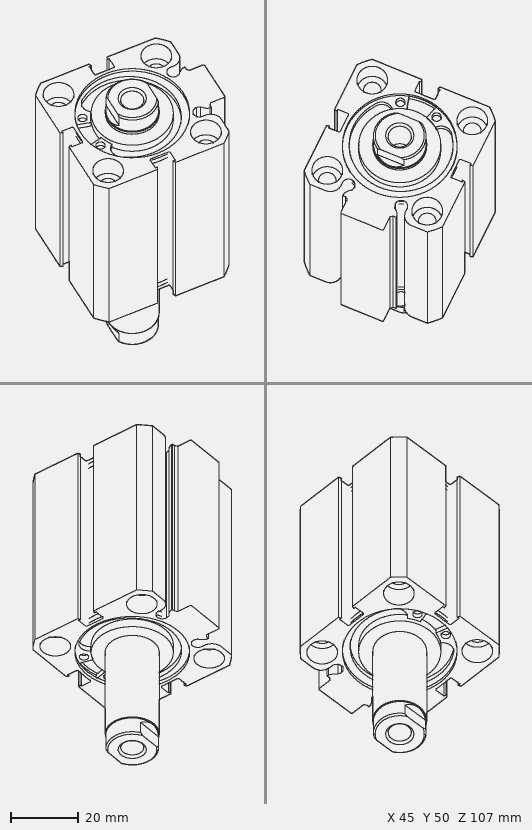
import cadquery as cq
import math

HOUSING_WIDTH = 45.0
HOUSING_HEIGHT = 63.0
TOTAL_DEPTH = 50.0
CORNER_RADIUS = 29.5
HALF_WIDTH = HOUSING_WIDTH / 2
BORE_RADIUS = 17.0

MOUNT_OFFSET = 16.3
MOUNT_HOLE_DIAMETER = 5.2
MOUNT_BORE_DIAMETER = 9.1
MOUNT_BORE_DEPTH = 7.0

GROOVE_RADIUS = 17.9
GROOVE_DEPTH = 1.2
RING_THICKNESS = 1.7

SLOT_WALL = 0.15
SLOT_FLOOR = GROOVE_RADIUS + SLOT_WALL
SLOT_WIDTH = 6.6
SLOT_LIP_WIDTH = 5.2
SLOT_MOUTH_WIDTH = 5.9
SLOT_LIP_THICKNESS = 0.9
SLOT_CORNER_RADIUS = 0.4

RAIL_TOP = TOTAL_DEPTH - HALF_WIDTH
RAIL_HALF_WIDTH = 7.0
RAIL_EDGE_RADIUS = 0.4
CHANNEL_RADIUS = 1.9
CHANNEL_X = 8.6
CHANNEL_Y = 18.0
SHOULDER_RADIUS = 3.5
BARB_TIP_X = 8.7
BARB_TIP_TOP = 21.9
BARB_TIP_BOTTOM = 21.4
BARB_NECK_X = 7.7
BARB_WAIST_X = 7.0
BARB_WAIST_Y = 19.2
BARB_BELLY = (8.0, 20.1)

ROD_RADIUS = 8.0
ROD_TOP_LENGTH = 7.0
ROD_BOTTOM_LENGTH = 37.0
ROD_END_RADIUS = 7.8
ROD_END_LENGTH = 5.8
ROD_END_CHAMFER = 0.5
FLAT_HALF_WIDTH = 6.5
FLAT_LENGTH = 4.4
TAP_RADIUS = 3.4
TAP_MOUTH_RADIUS = 4.2
TAP_DEPTH = 12.8
DRILL_POINT_ANGLE = 118

BOSS_RADIUS = 12.2
COVER_LENGTH = 15.0

RING_HOLE_RADIUS = 15.4
RING_HOLE_SHIFT = 1.0
RING_HOLE_END_ANGLE = 35
LUG_CURVE_MID = (9.8, 11.7)
LUG_INNER_RADIUS = 12.4
LUG_ANGLE = 34
GAP_HALF_ANGLE = 15
LUG_HOLE_RADIUS = 1.4
LUG_HOLE_ANGLE = 23.5
LUG_HOLE_DISTANCE = 14.8


def disc(radius, bottom, top):
    """Cylinder on the rod axis between two heights."""
    return cq.Workplane("XY").workplane(offset=bottom).circle(radius).extrude(top - bottom)


def mirror_to_bottom(body):
    """Copy of a body from the upper end, mirrored to the lower end of the housing."""
    return body.mirror("XY", (0, 0, HOUSING_HEIGHT / 2))


def point_from_gap(radius, angle):
    """Point at a radius, turned by an angle from -Y towards +X."""
    turn = math.radians(angle)
    return (radius * math.sin(turn), -radius * math.cos(turn))


def slot_cutter():
    """Sensor slot on the -Y side: undercut channel with a flared, lipped mouth."""
    lip_inside = -HALF_WIDTH + SLOT_LIP_THICKNESS
    half = [
        (SLOT_MOUTH_WIDTH / 2, -HALF_WIDTH),
        (SLOT_LIP_WIDTH / 2, lip_inside),
        (SLOT_WIDTH / 2, lip_inside),
        (SLOT_WIDTH / 2, -SLOT_FLOOR),
    ]
    other_half = [(-x, y) for x, y in reversed(half)]
    slot = cq.Workplane("XY").polyline(half + other_half).close().extrude(HOUSING_HEIGHT)
    floor_corners = cq.selectors.BoxSelector(
        (-HALF_WIDTH, -SLOT_FLOOR - SLOT_CORNER_RADIUS, 0),
        (HALF_WIDTH, -SLOT_FLOOR + SLOT_CORNER_RADIUS, HOUSING_HEIGHT),
    )
    return slot.edges("|Z").edges(floor_corners).fillet(SLOT_CORNER_RADIUS)


def channel_cutter():
    """Space between the +X flank of the rail and the mounting corner."""
    outer_x = CHANNEL_X + CHANNEL_RADIUS
    shoulder_y = HALF_WIDTH - SHOULDER_RADIUS
    shoulder_mid = (
        outer_x + SHOULDER_RADIUS * (1 - math.sqrt(0.5)),
        shoulder_y + SHOULDER_RADIUS * math.sqrt(0.5),
    )
    return (
        cq.Workplane("XY")
        .moveTo(RAIL_HALF_WIDTH, RAIL_TOP)
        .lineTo(RAIL_HALF_WIDTH, HALF_WIDTH)
        .lineTo(BARB_NECK_X, BARB_TIP_TOP)
        .lineTo(BARB_TIP_X, BARB_TIP_TOP)
        .lineTo(BARB_TIP_X, BARB_TIP_BOTTOM)
        .threePointArc(BARB_BELLY, (BARB_WAIST_X, BARB_WAIST_Y))
        .lineTo(CHANNEL_X - CHANNEL_RADIUS, CHANNEL_Y)
        .threePointArc((CHANNEL_X, CHANNEL_Y - CHANNEL_RADIUS), (outer_x, CHANNEL_Y))
        .lineTo(outer_x, shoulder_y)
        .threePointArc(shoulder_mid, (outer_x + SHOULDER_RADIUS, HALF_WIDTH))
        .lineTo(outer_x + SHOULDER_RADIUS, RAIL_TOP)
        .close()
        .extrude(HOUSING_HEIGHT)
    )


def rail_block():
    """Rail on the +Y side, reaching in from the square section."""
    return (
        cq.Workplane("XY")
        .rect(2 * RAIL_HALF_WIDTH, RAIL_TOP - BORE_RADIUS)
        .extrude(HOUSING_HEIGHT)
        .edges("|Z and >Y")
        .fillet(RAIL_EDGE_RADIUS)
        .translate((0, (RAIL_TOP + BORE_RADIUS) / 2, 0))
    )


def make_housing():
    square = cq.Workplane("XY").rect(HOUSING_WIDTH, HOUSING_WIDTH).extrude(HOUSING_HEIGHT)
    housing = square.intersect(disc(CORNER_RADIUS, 0, HOUSING_HEIGHT)).union(rail_block())

    channel = channel_cutter()
    housing = housing.cut(channel).cut(channel.mirror("YZ"))

    slot = slot_cutter()
    for turn in (-90, 0, 90):
        housing = housing.cut(slot.rotate((0, 0, 0), (0, 0, 1), turn))

    groove_top = HOUSING_HEIGHT - GROOVE_DEPTH
    groove = disc(GROOVE_RADIUS, groove_top - RING_THICKNESS, groove_top)
    housing = housing.cut(disc(BORE_RADIUS, 0, HOUSING_HEIGHT))
    housing = housing.cut(groove).cut(mirror_to_bottom(groove))

    for face in (">Z", "<Z"):
        housing = (
            housing.faces(face)
            .workplane(origin=(0, 0, 0))
            .rect(2 * MOUNT_OFFSET, 2 * MOUNT_OFFSET, forConstruction=True)
            .vertices()
            .cboreHole(MOUNT_HOLE_DIAMETER, MOUNT_BORE_DIAMETER, MOUNT_BORE_DEPTH)
        )
    return housing


def flat_cutter(end):
    """Wrench flat on the -Y side of the upper rod end, running out at 45 degrees."""
    flat_bottom = end - FLAT_LENGTH
    runout = ROD_RADIUS - FLAT_HALF_WIDTH
    return (
        cq.Workplane("YZ")
        .polyline([
            (-FLAT_HALF_WIDTH, end),
            (-FLAT_HALF_WIDTH, flat_bottom),
            (-ROD_RADIUS, flat_bottom - runout),
            (-ROD_RADIUS, end),
        ])
        .close()
        .extrude(ROD_RADIUS, both=True)
    )


def tap_cutter(end):
    """Drilled hole in the upper rod end, with a conical bottom and a chamfered mouth."""
    mouth_chamfer = TAP_MOUTH_RADIUS - TAP_RADIUS
    point_length = TAP_RADIUS / math.tan(math.radians(DRILL_POINT_ANGLE / 2))
    return (
        cq.Workplane("XZ")
        .polyline([
            (0, end),
            (TAP_MOUTH_RADIUS, end),
            (TAP_RADIUS, end - mouth_chamfer),
            (TAP_RADIUS, end - TAP_DEPTH),
            (0, end - TAP_DEPTH - point_length),
        ])
        .close()
        .revolve(360, (0, 0, 0), (0, 1, 0))
    )


def make_rod():
    top = HOUSING_HEIGHT + ROD_TOP_LENGTH
    bottom = -ROD_BOTTOM_LENGTH
    shoulder_chamfer = ROD_RADIUS - ROD_END_RADIUS
    shank = disc(ROD_RADIUS, bottom + ROD_END_LENGTH, top - ROD_END_LENGTH)
    shank = shank.faces("<Z or >Z").chamfer(shoulder_chamfer)
    ends = disc(ROD_END_RADIUS, bottom, top).faces("<Z or >Z").chamfer(ROD_END_CHAMFER)
    rod = shank.union(ends)
    flat = flat_cutter(top)
    end_cuts = tap_cutter(top).union(flat).union(flat.mirror("XZ"))
    other_end_cuts = end_cuts.mirror("XY", (0, 0, (top + bottom) / 2))
    return rod.cut(end_cuts).cut(other_end_cuts)


def make_cover():
    """Plug in the bore below the ring, with a boss flush with the end face."""
    plug_top = HOUSING_HEIGHT - GROOVE_DEPTH - RING_THICKNESS
    plug_bottom = HOUSING_HEIGHT - COVER_LENGTH
    plug = disc(BORE_RADIUS, plug_bottom, plug_top)
    boss = disc(BOSS_RADIUS, plug_bottom, HOUSING_HEIGHT)
    return plug.union(boss).cut(disc(ROD_RADIUS, plug_bottom, HOUSING_HEIGHT))


def ring_opening(bottom):
    """Inside of the ring: an eccentric circle that curves in to the two lugs."""
    end_turn = math.radians(RING_HOLE_END_ANGLE)
    curve_x = RING_HOLE_RADIUS * math.cos(end_turn)
    curve_y = -RING_HOLE_SHIFT - RING_HOLE_RADIUS * math.sin(end_turn)
    mid_x, mid_drop = LUG_CURVE_MID
    lug_x, lug_y = point_from_gap(LUG_INNER_RADIUS, LUG_ANGLE)
    return (
        cq.Workplane("XY", origin=(0, 0, bottom))
        .moveTo(curve_x, curve_y)
        .threePointArc((0, RING_HOLE_RADIUS - RING_HOLE_SHIFT), (-curve_x, curve_y))
        .threePointArc((-mid_x, -mid_drop), (-lug_x, lug_y))
        .threePointArc((0, -LUG_INNER_RADIUS), (lug_x, lug_y))
        .threePointArc((mid_x, -mid_drop), (curve_x, curve_y))
        .close()
        .extrude(RING_THICKNESS)
    )


def ring_gap(bottom):
    """Wedge between the two lugs."""
    reach = 2 * GROOVE_RADIUS
    right = point_from_gap(reach, GAP_HALF_ANGLE)
    left = point_from_gap(reach, -GAP_HALF_ANGLE)
    wedge = cq.Workplane("XY", origin=(0, 0, bottom)).polyline([(0, 0), right, left])
    return wedge.close().extrude(RING_THICKNESS)


def make_ring():
    top = HOUSING_HEIGHT - GROOVE_DEPTH
    bottom = top - RING_THICKNESS
    lug_holes = [point_from_gap(LUG_HOLE_DISTANCE, side * LUG_HOLE_ANGLE) for side in (-1, 1)]
    pliers_holes = (
        cq.Workplane("XY", origin=(0, 0, bottom))
        .pushPoints(lug_holes)
        .circle(LUG_HOLE_RADIUS)
        .extrude(RING_THICKNESS)
    )
    ring = disc(GROOVE_RADIUS, bottom, top)
    return ring.cut(ring_opening(bottom)).cut(ring_gap(bottom)).cut(pliers_holes)


housing = make_housing()
rod = make_rod()
cover = make_cover()
ring = make_ring()

bodies = [housing.solids().val(), rod.solids().val()]
for end_body in (cover, ring):
    bodies.append(end_body.solids().val())
    bodies.append(mirror_to_bottom(end_body).solids().val())

result = cq.Compound.makeCompound(bodies)